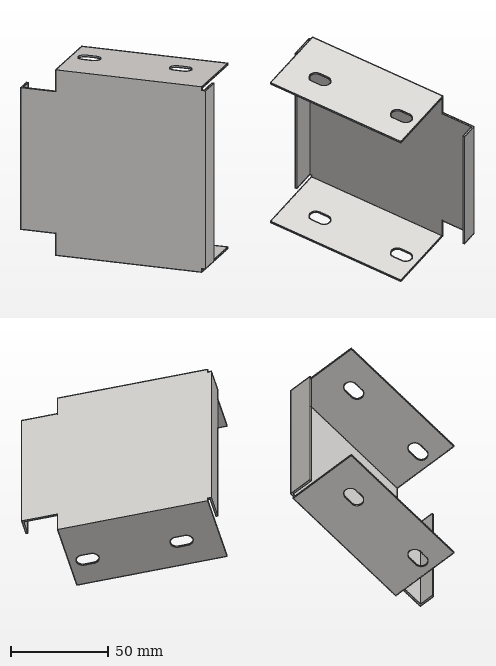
import cadquery as cq

length = 101.0
depth = 39.9
height = 101.0
sheet = 1.0

left_step = 19.1
left_setback = 11.9
corner_notch = 2.0

left_flange_depth = 9.1
right_flange_depth = 13.3

slot_length = 12.0
slot_width = 7.0
slot_count = 2
slot_pitch = 50.0
first_slot_from_flange_end = 9.9
slot_from_back = 16.0

left_height = height - 2 * left_setback
right_height = height - 2 * corner_notch
flange_length = length - left_step - corner_notch


def block(x, z, size_x, size_y, size_z):
    """Block standing on the front face plane, placed by its lower left corner."""
    return cq.Workplane("XY").box(size_x, size_y, size_z, centered=False).translate((x, 0, z))


panel = block(left_step, 0, flange_length, sheet, height)
panel = panel.union(block(0, left_setback, length / 2, sheet, left_height))
panel = panel.union(block(length / 2, corner_notch, length / 2, sheet, right_height))

left_flange = block(0, left_setback, sheet, left_flange_depth, left_height)
right_flange = block(length - sheet, corner_notch, sheet, right_flange_depth, right_height)
bottom_flange = block(left_step, 0, flange_length, depth, sheet)
top_flange = block(left_step, height - sheet, flange_length, depth, sheet)

first_slot_x = left_step + first_slot_from_flange_end
slots = (
    cq.Workplane("XY")
    .pushPoints([(first_slot_x + i * slot_pitch, depth - slot_from_back) for i in range(slot_count)])
    .slot2D(slot_length, slot_width)
    .extrude(height)
)

result = panel
for flange in (left_flange, right_flange, bottom_flange, top_flange):
    result = result.union(flange)
result = result.cut(slots).clean()